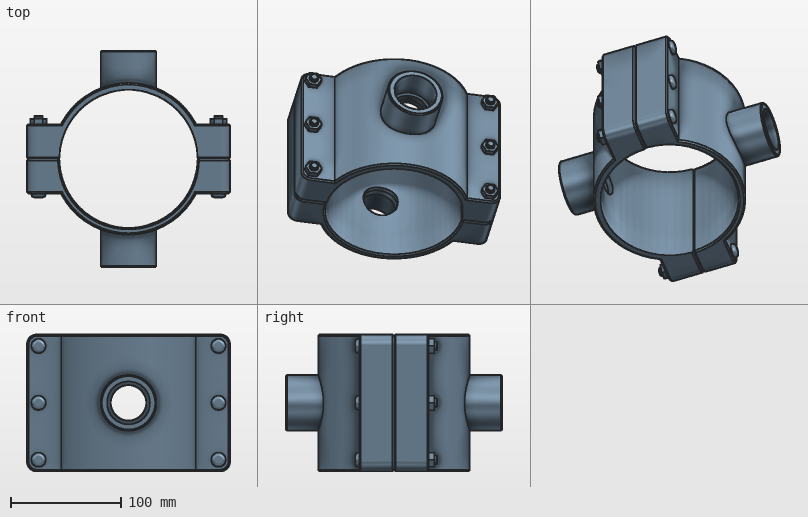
import cadquery as cq

height = 124.0
bore_diameter = 125.0
shell_diameter = 137.5
flange_span = 184.0
flange_thickness = 31.5
corner_radius = 9.0
edge_chamfer = 1.5

outlet_reach = 98.0
outlet_diameter = 50.64
outlet_chamfer = 1.2
socket_diameter = 38.95
socket_floor = 72.5
port_diameter = 32.0
recess_floor_diameter = 134.0

bolt_x = 81.5
bolt_z_pitch = 51.5
head_diameter = 13.0
head_rim = 0.5
head_round = 3.0
nut_across_flats = 13.0
nut_height = 4.8
nut_turn = 30.0
bolt_diameter = 8.0
bolt_tip_reach = 39.2
bolt_tip_chamfer = 1.0

bolt_positions = [(side * bolt_x, row * bolt_z_pitch) for side in (-1, 1) for row in (-1, 0, 1)]


def cylinder_along_y(diameter, start, end):
    """Cylinder on the Y axis, from one Y position to a larger one."""
    return cq.Workplane("XZ", origin=(0, end, 0)).circle(diameter / 2).extrude(end - start)


def cylinder_along_z(diameter):
    """Cylinder on the Z axis, as tall as the clamp."""
    return cq.Workplane("XY", origin=(0, 0, -height / 2)).circle(diameter / 2).extrude(height)


def chamfer_outline(body):
    """Chamfer the rims of the end, joint and flange faces, but not the inner corners at the shell."""
    return body.edges("(not (|Y or |Z)) or (|Z and (<Y or <X or >X))").chamfer(edge_chamfer)


def outlet_pipe():
    """Outlet pipe on the +Y side: a port that widens into a socket, with a saddle-shaped inner end."""
    pipe = cylinder_along_y(outlet_diameter, 0, outlet_reach).faces(">Y").chamfer(outlet_chamfer)
    port = cylinder_along_y(port_diameter, 0, outlet_reach)
    socket = cylinder_along_y(socket_diameter, socket_floor, outlet_reach)
    return pipe.cut(cylinder_along_z(recess_floor_diameter)).cut(port).cut(socket)


def clamp_half(chamfered_bore):
    """Half shell with two flanges on the +Y side of the joint, with its outlet recess and port."""
    flange = (
        cq.Workplane("XY")
        .box(flange_span, flange_thickness, height, centered=(True, False, True))
        .edges("|Y")
        .fillet(corner_radius)
    )
    shell = (
        cq.Workplane("XY", origin=(0, 0, -height / 2))
        .moveTo(-shell_diameter / 2, 0)
        .threePointArc((0, shell_diameter / 2), (shell_diameter / 2, 0))
        .close()
        .extrude(height)
    )
    bore = cylinder_along_z(bore_diameter)
    body = flange.union(shell)
    if chamfered_bore:
        body = chamfer_outline(body.cut(bore))
    else:
        body = chamfer_outline(body).cut(bore)
    recess = cylinder_along_y(outlet_diameter, 0, outlet_reach).cut(cylinder_along_z(recess_floor_diameter))
    return body.cut(recess).cut(cylinder_along_y(port_diameter, 0, outlet_reach))


def bolt_head():
    """Rounded bolt head standing on the +Y face of a flange."""
    head_end = flange_thickness + head_rim + head_round
    return cylinder_along_y(head_diameter, flange_thickness, head_end).faces(">Y").edges().fillet(head_round)


def nut_with_bolt_tip():
    """Hexagonal nut on the +Y face of a flange, with the bolt tip standing out of it."""
    nut = (
        cq.Workplane("XZ", origin=(0, flange_thickness + nut_height, 0))
        .polygon(6, nut_across_flats, circumscribed=True)
        .extrude(nut_height)
        .rotate((0, 0, 0), (0, 1, 0), nut_turn)
    )
    tip = cylinder_along_y(bolt_diameter, flange_thickness, bolt_tip_reach)
    return nut.union(tip.faces(">Y").chamfer(bolt_tip_chamfer))


def add_fasteners(body, fastener):
    """Place one fastener at each bolt position of the flanges."""
    for x, z in bolt_positions:
        body = body.union(fastener.translate((x, 0, z)))
    return body


front_half = add_fasteners(clamp_half(True), bolt_head()).mirror("XZ")
back_half = add_fasteners(clamp_half(False), nut_with_bolt_tip())
clamp = front_half.union(back_half)

back_outlet = outlet_pipe()
front_outlet = outlet_pipe().mirror("XZ")

result = cq.Compound.makeCompound([clamp.val(), front_outlet.val(), back_outlet.val()])